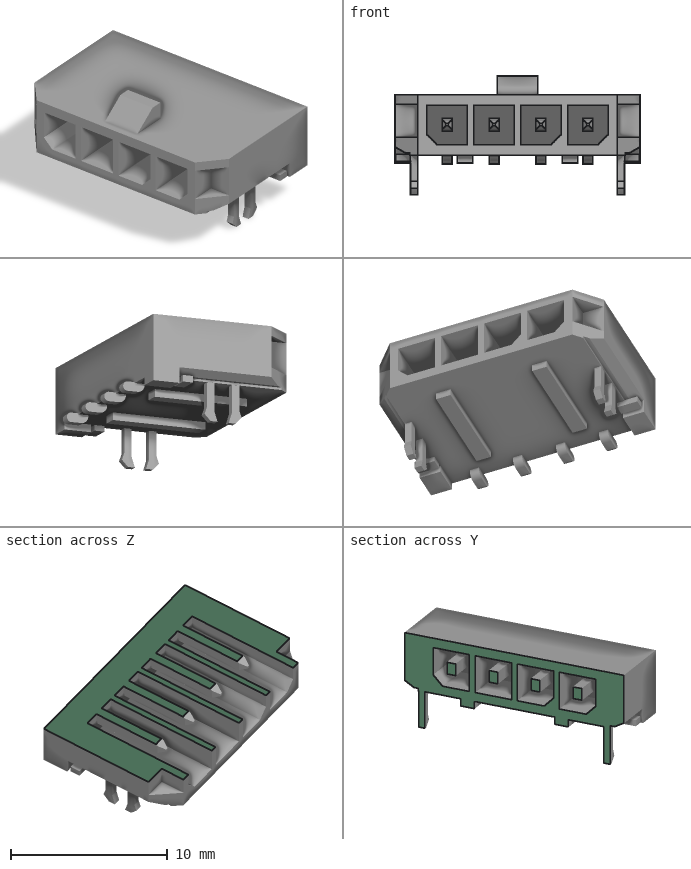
import cadquery as cq
import math


WIDTH = 15.65
DEPTH = 9.9
TOP_Z = 4.37
FLOOR_Z = 0.5
HALF_WIDTH = WIDTH / 2
CORNER_X = 1.46
CORNER_Y = 1.69
NOTCH_BOTTOM_Z = 1.65
NOTCH_TOP_Z = 3.75

FOOT_FRONT_Y = 8.07
RIB_FRONT_Y = 1.64
RIB_WIDTH = 1.0
RIB_X = 3.35

RELIEF_OUTER_Z = 1.03
RELIEF_INNER_Z = 0.65
RELIEF_SLOPE_WIDTH = 0.67
RELIEF_WIDTH = 0.96

LATCH_WIDTH = 2.6
LATCH_HEIGHT = 1.2
LATCH_FRONT_Y = 0.57
LATCH_CREST_Y = 2.17
LATCH_BACK_Y = 2.98

CONTACT_COUNT = 4
PITCH = 3.0
CAVITY_WIDTH = 2.56
CAVITY_BOTTOM_Z = 1.16
CAVITY_TOP_Z = 3.68
CAVITY_DEPTH = 7.9
KEY_CHAMFER = 0.66
KEY_SIDES = {0: -1, 2: 1, 3: 1}

PIN_WIDTH = 0.64
PIN_HEIGHT = 0.84
PIN_Z = 2.46
PIN_TIP_Y = 2.6
PIN_TAPER_LENGTH = 0.5
PIN_TAPER_HEIGHT = 0.64
PIN_ROUND_LENGTH = 0.4
PIN_TIP_SIZE = 0.16
TAIL_END_Y = 10.7
TAIL_BOTTOM_Z = -0.06
TAIL_THICKNESS = 0.62
TAIL_BEND_Y = 9.7
TAIL_BEND_RADIUS = 0.5

CLIP_OUTER_INSET = 0.98
CLIP_INNER_INSET = 1.46
CLIP_Y = 4.62
CLIP_EMBED_Z = 1.0
PRONG_OUTER = 1.13
PRONG_INNER = 0.61
BARB_OUTER = 1.29
BARB_TOE_OUTER = 0.87
BARB_TOE_INNER = 0.39
BARB_START_OUTER_Z = -1.15
BARB_START_INNER_Z = -1.35
BARB_POINT_Z = -1.6
BARB_BOTTOM_Z = -2.03
TAB_INSET = 0.05
TAB_FRONT_Y = 7.12
TAB_BACK_Y = 7.81
TAB_BOTTOM_Z = 0.13
TAB_TOP_Z = 0.56


def block(x_range, y_range, z_range):
    """Axis-aligned box between pairs of limits."""
    size = [high - low for low, high in (x_range, y_range, z_range)]
    corner = (x_range[0], y_range[0], z_range[0])
    return cq.Workplane("XY").box(*size, centered=False).translate(corner)


def along_x(points, start, end):
    """Prism with a (Y, Z) outline, running in X from start to end."""
    return cq.Workplane("YZ").workplane(offset=start).polyline(points).close().extrude(end - start)


def along_y(points, start, end):
    """Prism with an (X, Z) outline, running in Y from start to end."""
    return cq.Workplane("XZ").workplane(offset=-start).polyline(points).close().extrude(start - end)


def along_z(points, start, end):
    """Prism with an (X, Y) outline, running in Z from start to end."""
    return cq.Workplane("XY").workplane(offset=start).polyline(points).close().extrude(end - start)


def with_mirror(left_half):
    """Left-hand feature together with its right-hand twin."""
    return left_half.union(left_half.mirror("YZ"))


def corner_notch():
    """Square-cornered pocket behind the chamfer; its floor is left triangular."""
    notch_x = (-HALF_WIDTH, -HALF_WIDTH + CORNER_X)
    return block(notch_x, (0, CORNER_Y), (NOTCH_BOTTOM_Z, NOTCH_TOP_Z))


def side_relief():
    """Sloped undercut, then a flat step beside the clip, open at the bottom."""
    outline = [
        (-HALF_WIDTH, 0),
        (-HALF_WIDTH, RELIEF_OUTER_Z),
        (-HALF_WIDTH + RELIEF_SLOPE_WIDTH, RELIEF_INNER_Z),
        (-HALF_WIDTH + RELIEF_WIDTH, RELIEF_INNER_Z),
        (-HALF_WIDTH + RELIEF_WIDTH, 0),
    ]
    return along_y(outline, 0, FOOT_FRONT_Y)


def housing():
    plan = [
        (-HALF_WIDTH, DEPTH),
        (-HALF_WIDTH, CORNER_Y),
        (-HALF_WIDTH + CORNER_X, 0),
        (HALF_WIDTH - CORNER_X, 0),
        (HALF_WIDTH, CORNER_Y),
        (HALF_WIDTH, DEPTH),
    ]
    body = along_z(plan, FLOOR_Z, TOP_Z)
    body = body.cut(with_mirror(side_relief()))
    body = body.cut(with_mirror(corner_notch()))

    foot_x = (-HALF_WIDTH, -HALF_WIDTH + CLIP_INNER_INSET)
    foot = block(foot_x, (FOOT_FRONT_Y, DEPTH), (0, FLOOR_Z))
    rib_x = (-RIB_X - RIB_WIDTH / 2, -RIB_X + RIB_WIDTH / 2)
    rib = block(rib_x, (RIB_FRONT_Y, FOOT_FRONT_Y), (0, FLOOR_Z))
    return body.union(with_mirror(foot)).union(with_mirror(rib))


def latch():
    outline = [
        (LATCH_FRONT_Y, TOP_Z),
        (LATCH_CREST_Y, TOP_Z + LATCH_HEIGHT),
        (LATCH_BACK_Y, TOP_Z + LATCH_HEIGHT),
        (LATCH_BACK_Y, TOP_Z),
    ]
    return along_x(outline, -LATCH_WIDTH / 2, LATCH_WIDTH / 2)


def cavity(x, key_side):
    """Square socket; a keyed one has one lower corner chamfered."""
    half = CAVITY_WIDTH / 2
    socket = block((x - half, x + half), (0, CAVITY_DEPTH), (CAVITY_BOTTOM_Z, CAVITY_TOP_Z))
    if key_side == 0:
        return socket
    corner_x = x + key_side * half
    key = [
        (corner_x, CAVITY_BOTTOM_Z),
        (corner_x - key_side * KEY_CHAMFER, CAVITY_BOTTOM_Z),
        (corner_x, CAVITY_BOTTOM_Z + KEY_CHAMFER),
    ]
    return socket.cut(along_y(key, 0, CAVITY_DEPTH))


def contact(x):
    """Taper-tipped pin, bent down inside the back wall into a round-ended solder tail."""
    tip = PIN_TIP_SIZE / 2
    shoulder = PIN_TAPER_HEIGHT / 2
    half = PIN_HEIGHT / 2
    taper_y = PIN_TIP_Y + PIN_TAPER_LENGTH
    straight_y = taper_y + PIN_ROUND_LENGTH
    opening_slope = (PIN_TAPER_LENGTH, shoulder - tip)
    closing_slope = (-PIN_TAPER_LENGTH, shoulder - tip)
    level_forward = (-1, 0)
    level_back = (1, 0)
    leg_front_y = TAIL_BEND_Y - TAIL_BEND_RADIUS
    leg_back_y = leg_front_y + TAIL_THICKNESS
    bend_z = TAIL_BOTTOM_Z + TAIL_BEND_RADIUS
    tail_top_z = TAIL_BOTTOM_Z + TAIL_THICKNESS
    end_radius = TAIL_THICKNESS / 2
    end_y = TAIL_END_Y - end_radius
    bend_reach = TAIL_BEND_RADIUS * math.sqrt(0.5)
    bend_middle = (TAIL_BEND_Y - bend_reach, bend_z - bend_reach)

    profile = (
        cq.Workplane("YZ").workplane(offset=x - PIN_WIDTH / 2)
        .moveTo(PIN_TIP_Y, PIN_Z - tip)
        .lineTo(PIN_TIP_Y, PIN_Z + tip)
        .lineTo(taper_y, PIN_Z + shoulder)
        .spline([(straight_y, PIN_Z + half)], tangents=[opening_slope, level_back], includeCurrent=True)
        .lineTo(leg_back_y, PIN_Z + half)
        .lineTo(leg_back_y, tail_top_z)
        .lineTo(end_y, tail_top_z)
        .threePointArc((TAIL_END_Y, tail_top_z - end_radius), (end_y, TAIL_BOTTOM_Z))
        .lineTo(TAIL_BEND_Y, TAIL_BOTTOM_Z)
        .threePointArc(bend_middle, (leg_front_y, bend_z))
        .lineTo(leg_front_y, PIN_Z - half)
        .lineTo(straight_y, PIN_Z - half)
        .spline([(taper_y, PIN_Z - shoulder)], tangents=[level_forward, closing_slope], includeCurrent=True)
        .close()
        .extrude(PIN_WIDTH)
    )
    side_taper = [
        (x - tip, PIN_TIP_Y),
        (x + tip, PIN_TIP_Y),
        (x + PIN_WIDTH / 2, taper_y),
        (x + PIN_WIDTH / 2, TAIL_END_Y),
        (x - PIN_WIDTH / 2, TAIL_END_Y),
        (x - PIN_WIDTH / 2, taper_y),
    ]
    return profile.intersect(along_z(side_taper, TAIL_BOTTOM_Z, PIN_Z + half))


def prong(direction):
    """Barbed leg; direction is +1 for the rear leg and -1 for the front one."""
    outline = [
        (PRONG_INNER, CLIP_EMBED_Z),
        (PRONG_OUTER, CLIP_EMBED_Z),
        (PRONG_OUTER, BARB_START_OUTER_Z),
        (BARB_OUTER, BARB_POINT_Z),
        (BARB_TOE_OUTER, BARB_BOTTOM_Z),
        (BARB_TOE_INNER, BARB_BOTTOM_Z),
        (PRONG_INNER, BARB_START_INNER_Z),
    ]
    points = [(CLIP_Y + direction * y, z) for y, z in outline]
    return along_x(points, -HALF_WIDTH + CLIP_OUTER_INSET, -HALF_WIDTH + CLIP_INNER_INSET)


def board_lock():
    """Pair of prongs and the outward solder tab of the left-hand clip."""
    tab_x = (-HALF_WIDTH + TAB_INSET, -HALF_WIDTH + CLIP_INNER_INSET)
    tab = block(tab_x, (TAB_FRONT_Y, TAB_BACK_Y), (TAB_BOTTOM_Z, TAB_TOP_Z))
    return prong(1).union(prong(-1)).union(tab)


part = housing().union(latch())
for number in range(CONTACT_COUNT):
    contact_x = (number - (CONTACT_COUNT - 1) / 2) * PITCH
    part = part.cut(cavity(contact_x, KEY_SIDES.get(number, 0)))
    part = part.union(contact(contact_x))
result = part.union(with_mirror(board_lock()))